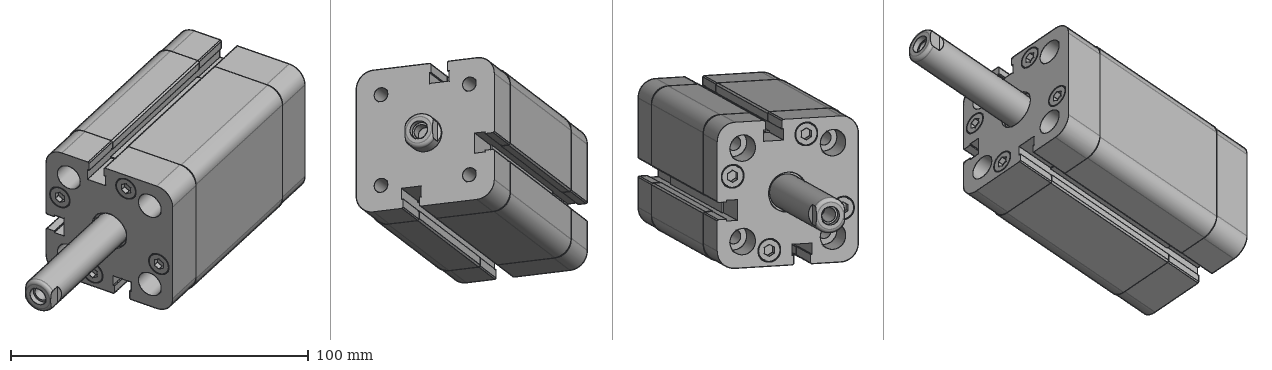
import cadquery as cq
import math


CAP_SIDE = 50.0
CAP_CORNER_RADIUS = 6.3
TUBE_SIDE = 50.1
TUBE_CORNER_RADIUS = 5.9
FRONT_CAP_LENGTH = 14.9
TUBE_LENGTH = 55.5
REAR_CAP_LENGTH = 14.5
TUBE_START = FRONT_CAP_LENGTH
TUBE_END = TUBE_START + TUBE_LENGTH
BODY_END = TUBE_END + REAR_CAP_LENGTH

SLOT_OFFSET = 5.0
SLOT_INNER_WIDTH = 7.1
SLOT_LIP_DEPTH = 3.3
CAP_SLOT_MOUTH = 5.9
TUBE_SLOT_MOUTH = 5.5
SLOT_OUTER_MOUTH = 6.7
CAP_SLOT_DEPTH = 7.1
TUBE_SLOT_DEPTH = 6.7
SLOT_ANGLES = (0, 90, 180)

MOUNT_HALF_PITCH = 16.0
MOUNT_HOLE_DIAMETER = 4.9
MOUNT_BORE_DIAMETER = 9.0
MOUNT_BORE_DEPTH = 9.5

SCREW_ACROSS = 6.5
SCREW_OUTWARD = 19.5
SCREW_BORE_DIAMETER = 8.0
SCREW_HEAD_DIAMETER = 7.5
SCREW_HEAD_HEIGHT = 3.0
SOCKET_ACROSS_FLATS = 3.5
SOCKET_DEPTH = 2.0
SCREW_ANGLES = (0, 90, 180, 270)

TOTAL_LENGTH = 136.5
ROD_DIAMETER = 12.0
ROD_RADIUS = ROD_DIAMETER / 2
ROD_FRONT_REACH = 45.7
ROD_END_FILLET = 1.4
ROD_FRONT = -ROD_FRONT_REACH
ROD_BACK = ROD_FRONT + TOTAL_LENGTH
FLAT_SPACING = 10.0
FLAT_LENGTH = 4.4
ROD_SEAT_DIAMETER = 13.6
ROD_SEAT_DEPTH = 1.4
THREAD_DIAMETER = 4.9
THREAD_DEPTH = 13.6
THREAD_BORE_DIAMETER = 6.3
THREAD_BORE_DEPTH = 2.0
DRILL_TIP_ANGLE = 120


def section_at(y):
    """Work plane at the given Y: local x is +X, local y is +Z, and -Y is its normal."""
    return cq.Workplane("XZ", origin=(0, y, 0))


def slot(side, mouth, depth, start, length):
    """T-slot cutter for the top face with a chamfered mouth."""
    chamfer = (SLOT_OUTER_MOUTH - mouth) / 2
    top = side / 2
    right_half = [
        (SLOT_OUTER_MOUTH / 2, top),
        (mouth / 2, top - chamfer),
        (mouth / 2, top - SLOT_LIP_DEPTH),
        (SLOT_INNER_WIDTH / 2, top - SLOT_LIP_DEPTH),
        (SLOT_INNER_WIDTH / 2, top - depth),
    ]
    left_half = [(-x, z) for x, z in reversed(right_half)]
    outline = [(x - SLOT_OFFSET, z) for x, z in right_half + left_half]
    return section_at(start).polyline(outline).close().extrude(-length)


def body_segment(side, corner_radius, mouth, slot_depth, start, length):
    """Rounded square block between two Y positions, with its three slots."""
    block = section_at(start).rect(side, side).extrude(-length).edges("|Y").fillet(corner_radius)
    cutter = slot(side, mouth, slot_depth, start, length)
    for angle in SLOT_ANGLES:
        block = block.cut(cutter.rotate((0, 0, 0), (0, 1, 0), -angle))
    return block


def cap(start, length):
    return body_segment(CAP_SIDE, CAP_CORNER_RADIUS, CAP_SLOT_MOUTH, CAP_SLOT_DEPTH, start, length)


def mounting_holes():
    """Through holes at the four corners, counterbored from the front."""
    pitch = 2 * MOUNT_HALF_PITCH
    corners = section_at(0).rect(pitch, pitch, forConstruction=True).vertices()
    holes = corners.circle(MOUNT_HOLE_DIAMETER / 2).extrude(-BODY_END)
    bores = corners.circle(MOUNT_BORE_DIAMETER / 2).extrude(-MOUNT_BORE_DEPTH)
    return holes.union(bores)


def screw_recess(angle):
    """Ring around a screw head and its hexagon socket, turned by the angle about the rod axis.

    Every hexagon keeps two of its flats upright.
    """
    turn = math.radians(angle)
    x = SCREW_ACROSS * math.cos(turn) - SCREW_OUTWARD * math.sin(turn)
    z = SCREW_ACROSS * math.sin(turn) + SCREW_OUTWARD * math.cos(turn)
    place = section_at(0).center(x, z)
    head = place.circle(SCREW_BORE_DIAMETER / 2).circle(SCREW_HEAD_DIAMETER / 2)
    ring = head.extrude(-SCREW_HEAD_HEIGHT)
    corner_diameter = SOCKET_ACROSS_FLATS / math.cos(math.radians(30))
    hexagon = place.transformed(rotate=(0, 0, 90)).polygon(6, corner_diameter)
    return ring.union(hexagon.extrude(-SOCKET_DEPTH))


def flat_cutter():
    """Wrench flat on the +X side of the front rod end, running out at 45 degrees."""
    flat = FLAT_SPACING / 2
    runout = ROD_RADIUS - flat
    flat_end = ROD_FRONT + FLAT_LENGTH
    outline = [
        (flat, ROD_FRONT),
        (ROD_RADIUS, ROD_FRONT),
        (ROD_RADIUS, flat_end + runout),
        (flat, flat_end),
    ]
    return cq.Workplane("XY").polyline(outline).close().extrude(ROD_RADIUS, both=True)


def thread_hole():
    """Counterbored blind hole with a drill tip in the front rod end."""
    radius = THREAD_DIAMETER / 2
    bore_radius = THREAD_BORE_DIAMETER / 2
    bore_end = ROD_FRONT + THREAD_BORE_DEPTH
    drill_end = ROD_FRONT + THREAD_DEPTH
    tip_length = radius / math.tan(math.radians(DRILL_TIP_ANGLE / 2))
    outline = [
        (0, ROD_FRONT),
        (bore_radius, ROD_FRONT),
        (bore_radius, bore_end),
        (radius, bore_end),
        (radius, drill_end),
        (0, drill_end + tip_length),
    ]
    return cq.Workplane("XY").polyline(outline).close().revolve(360, (0, 0, 0), (0, 1, 0))


def piston_rod():
    """Rod with the same flats, rounding and tapped hole at both ends."""
    rod = section_at(ROD_FRONT).circle(ROD_RADIUS).extrude(-TOTAL_LENGTH)
    rod = rod.faces("<Y or >Y").edges().fillet(ROD_END_FILLET)
    flat = flat_cutter()
    front_cuts = flat.union(flat.mirror("YZ")).union(thread_hole())
    middle = (ROD_FRONT + ROD_BACK) / 2
    return rod.cut(front_cuts).cut(front_cuts.mirror("XZ", (0, middle, 0)))


front_cap = cap(0, FRONT_CAP_LENGTH)
tube = body_segment(
    TUBE_SIDE, TUBE_CORNER_RADIUS, TUBE_SLOT_MOUTH, TUBE_SLOT_DEPTH, TUBE_START, TUBE_LENGTH
)
rear_cap = cap(TUBE_END, REAR_CAP_LENGTH)
body = front_cap.union(tube).union(rear_cap)

body = body.cut(mounting_holes())
for screw_angle in SCREW_ANGLES:
    body = body.cut(screw_recess(screw_angle))
body = body.cut(section_at(0).circle(ROD_SEAT_DIAMETER / 2).extrude(-ROD_SEAT_DEPTH))

result = body.union(piston_rod())